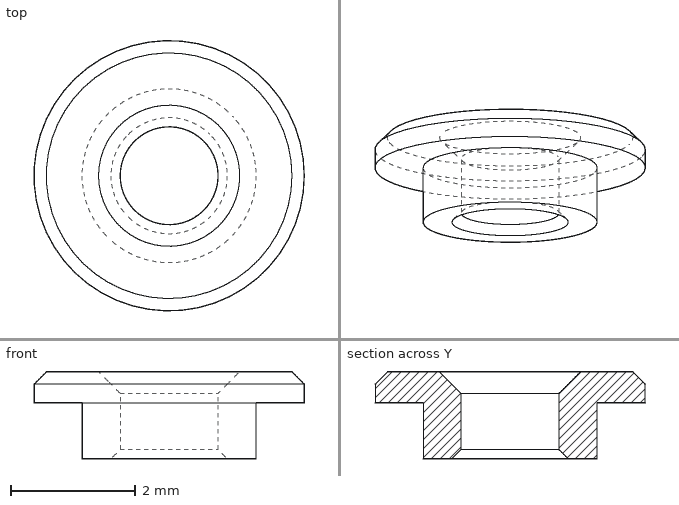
import cadquery as cq

flange_diameter = 4.35
flange_thickness = 0.5
flange_chamfer = 0.2
sleeve_diameter = 2.8
bore_diameter = 1.57
total_height = 1.4
mouth_chamfer = 0.35
exit_chamfer = 0.15

sleeve_length = total_height - flange_thickness


def make_sleeve():
    """Plain cylinder standing on the XY plane."""
    return cq.Workplane("XY").circle(sleeve_diameter / 2).extrude(sleeve_length)


def make_flange():
    """Disc on top of the sleeve with a chamfered upper rim."""
    disc = (
        cq.Workplane("XY")
        .workplane(offset=sleeve_length)
        .circle(flange_diameter / 2)
        .extrude(flange_thickness)
    )
    return disc.faces(">Z").edges().chamfer(flange_chamfer)


def cut_bore(body):
    """Through bore along the axis, chamfered at both ends."""
    bored = body.faces(">Z").workplane().hole(bore_diameter)
    smallest_edge = cq.selectors.RadiusNthSelector(0)
    countersunk = bored.faces(">Z").edges(smallest_edge).chamfer(mouth_chamfer)
    return countersunk.faces("<Z").edges(smallest_edge).chamfer(exit_chamfer)


result = cut_bore(make_sleeve().union(make_flange()))